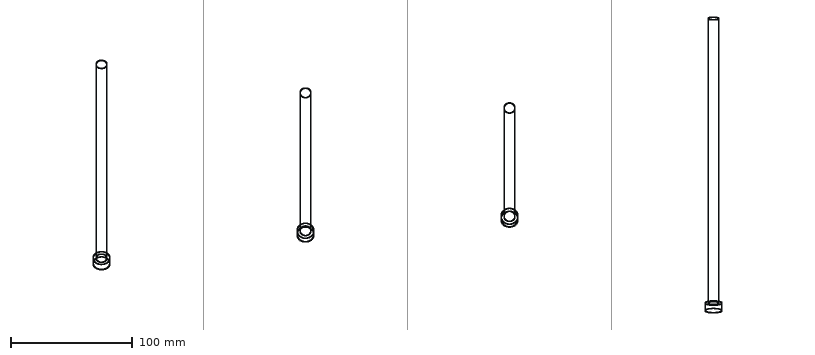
import cadquery as cq

total_length = 250.0
head_diameter = 14.0
head_height = 6.5
shaft_diameter = 9.0


def cylinder(diameter, height):
    """Upright cylinder on the Z axis, with its base at Z = 0."""
    return cq.Workplane("XY").circle(diameter / 2).extrude(height)


head = cylinder(head_diameter, head_height)
shaft = cylinder(shaft_diameter, total_length)

result = head.union(shaft)